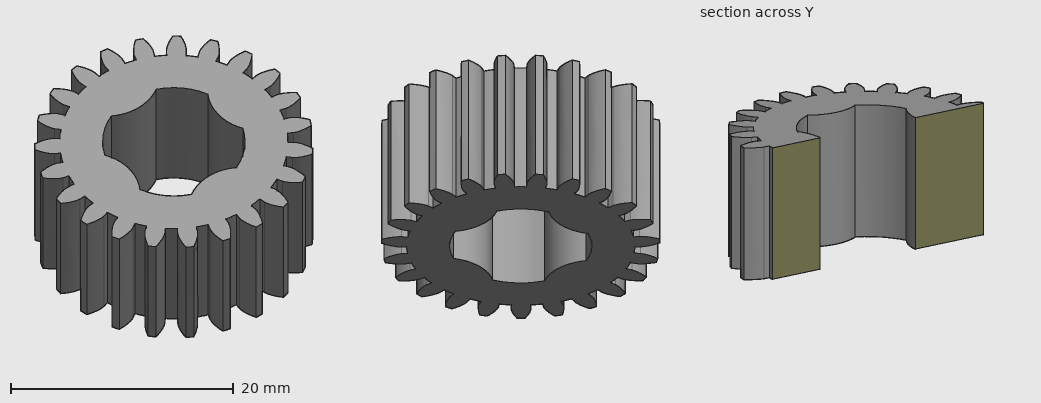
import cadquery as cq
import math

tooth_count = 23
pressure_angle = math.radians(20)
depth_across_teeth = 24.98
face_width = depth_across_teeth / 2

addendum_ratio = 1.0
dedendum_ratio = 1.25
flank_point_count = 8

bore_radius = 6.4
bulge_radius = 4.8
bulge_reach = 5.12
bulge_count = 4


def involute(angle):
    """Involute function: polar angle swept from the base circle at a given pressure angle."""
    return math.tan(angle) - angle


def polar(radius, angle):
    return (radius * math.cos(angle), radius * math.sin(angle))


tooth_pitch = 2 * math.pi / tooth_count
base_half_angle = tooth_pitch / 4 + involute(pressure_angle)
pitch_to_tip_ratio = tooth_count / (tooth_count + 2 * addendum_ratio)
tip_pressure_angle = math.acos(pitch_to_tip_ratio * math.cos(pressure_angle))
tip_half_angle = base_half_angle - involute(tip_pressure_angle)

top_tooth_angle = round(math.pi / 2 / tooth_pitch) * tooth_pitch
tip_radius = depth_across_teeth / 2 / math.sin(top_tooth_angle - tip_half_angle)
module = 2 * tip_radius / (tooth_count + 2 * addendum_ratio)
pitch_radius = module * tooth_count / 2
base_radius = pitch_radius * math.cos(pressure_angle)
root_radius = pitch_radius - dedendum_ratio * module


def flank_points(centre_angle, side):
    """Points up one involute flank, from base circle to tip; side is -1 or +1 around the tooth."""
    points = []
    for step in range(flank_point_count):
        radius = base_radius + (tip_radius - base_radius) * step / (flank_point_count - 1)
        swept_angle = involute(math.acos(min(1.0, base_radius / radius)))
        points.append(polar(radius, centre_angle + side * (base_half_angle - swept_angle)))
    return points


def make_toothed_blank():
    outline = cq.Workplane("XY").moveTo(*polar(root_radius, -base_half_angle))
    for index in range(tooth_count):
        centre_angle = index * tooth_pitch
        rising = flank_points(centre_angle, -1)
        falling = flank_points(centre_angle, 1)[::-1]
        next_root = polar(root_radius, centre_angle + tooth_pitch - base_half_angle)
        outline = outline.lineTo(*rising[0])
        outline = outline.spline(rising[1:], includeCurrent=True)
        outline = outline.threePointArc(polar(tip_radius, centre_angle), falling[0])
        outline = outline.spline(falling[1:], includeCurrent=True)
        outline = outline.lineTo(*polar(root_radius, centre_angle + base_half_angle))
        outline = outline.threePointArc(polar(root_radius, centre_angle + tooth_pitch / 2), next_root)
    return outline.close().extrude(face_width)


def make_bore():
    bore = cq.Workplane("XY").circle(bore_radius).extrude(face_width)
    bulges = (
        cq.Workplane("XY")
        .polarArray(bulge_reach + bulge_radius, 0, 360, bulge_count)
        .circle(bulge_radius)
        .extrude(face_width)
    )
    return bore.cut(bulges)


result = make_toothed_blank().cut(make_bore())